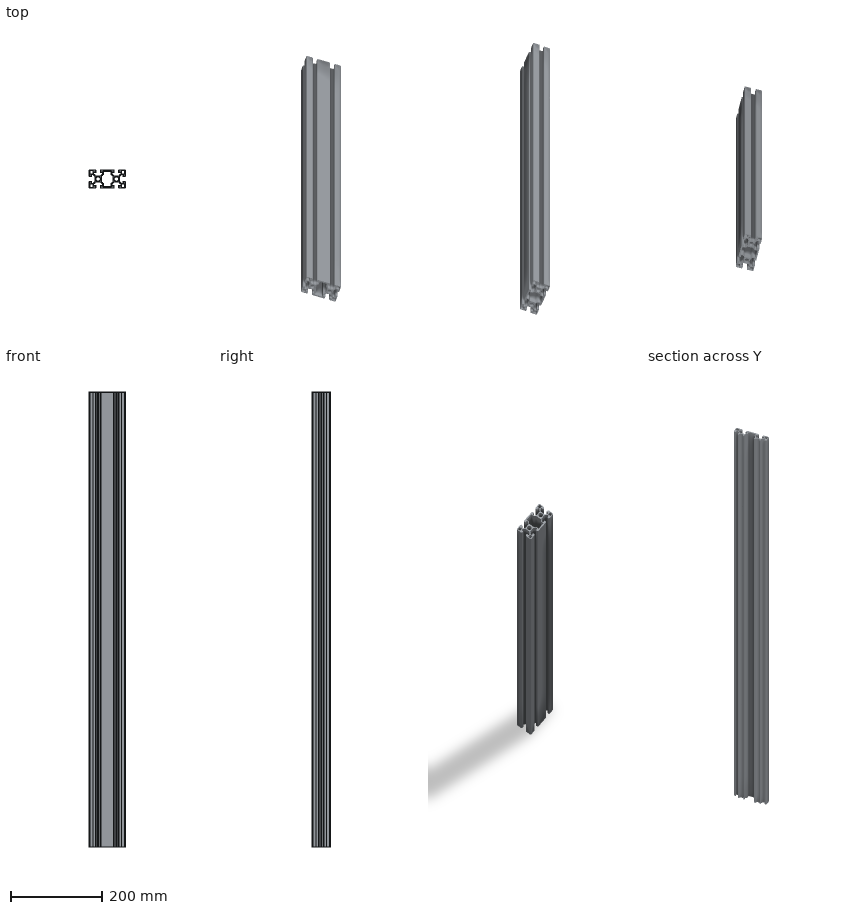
import cadquery as cq

pitch = 40.0
length = 1000.0
width = 2 * pitch
depth = pitch
corner_radius = 2.0

opening_half = 5.0
lead_in = 1.25
lip_thickness = 5.25
cavity_half = 10.0
floor_depth = 13.0
floor_half = 5.75
groove_half = 1.0
groove_depth = 0.75

bore_diameter = 10.0

corner_hollow_inset = 1.75
corner_hollow_side = 6.75

wall_thickness = 3.0
chamber_neck_half = 8.5
chamber_belly_half = 12.25
chamber_belly_half_height = 6.5

cell_centres = (-pitch / 2, pitch / 2)


def mirrored_in_x(points):
    """The points followed by their mirror images across the Y axis, in reverse order."""
    return points + [(-x, y) for x, y in reversed(points)]


def slot_cutter():
    """T-slot along Z, opening towards +Y, with a 45 degree taper down to a V-grooved floor."""
    face = depth / 2
    floor = face - floor_depth
    lip_bottom = face - lip_thickness
    taper_top = floor + cavity_half - floor_half
    right_side = [
        (groove_half, floor),
        (floor_half, floor),
        (cavity_half, taper_top),
        (cavity_half, lip_bottom),
        (opening_half, lip_bottom),
        (opening_half, face - lead_in),
        (opening_half + lead_in, face),
    ]
    groove_tip = (0, floor - groove_depth)
    outline = [groove_tip] + mirrored_in_x(right_side)
    return cq.Workplane("XY").polyline(outline).close().extrude(length)


def chamber_cutter():
    """Central hollow: a wide belly narrowing at 45 degrees to a neck near each wall."""
    top = depth / 2 - wall_thickness
    shoulder = chamber_belly_half_height + chamber_belly_half - chamber_neck_half
    quarter = [
        (chamber_belly_half, chamber_belly_half_height),
        (chamber_neck_half, shoulder),
        (chamber_neck_half, top),
    ]
    upper_half = mirrored_in_x(quarter)
    outline = upper_half + [(-x, -y) for x, y in upper_half]
    return cq.Workplane("XY").polyline(outline).close().extrude(length)


def corner_hollow_cutter():
    """Four square hollows, one inside each outer corner."""
    centre_inset = corner_hollow_inset + corner_hollow_side / 2
    span_x = width - 2 * centre_inset
    span_y = depth - 2 * centre_inset
    centres = cq.Workplane("XY").rect(span_x, span_y, forConstruction=True).vertices()
    return centres.rect(corner_hollow_side, corner_hollow_side).extrude(length)


def bore_cutter():
    """One round bore on the axis of each cell."""
    centres = cq.Workplane("XY").pushPoints([(x, 0) for x in cell_centres])
    return centres.circle(bore_diameter / 2).extrude(length)


def cut_slots(body):
    """Cut three slots per cell: front, back and the outward end face."""
    slot = slot_cutter()
    for cell_x, outward_turn in zip(cell_centres, (90, -90)):
        for turn in (0, 180, outward_turn):
            turned_slot = slot.rotate((0, 0, 0), (0, 0, 1), turn)
            body = body.cut(turned_slot.translate((cell_x, 0, 0)))
    return body


def build_extrusion():
    """The full-length bar with its slots and hollows."""
    body = cq.Workplane("XY").rect(width, depth).extrude(length)
    body = body.edges("|Z").fillet(corner_radius)
    body = cut_slots(body)
    for cutter in (chamber_cutter(), corner_hollow_cutter(), bore_cutter()):
        body = body.cut(cutter)
    return body


result = build_extrusion()